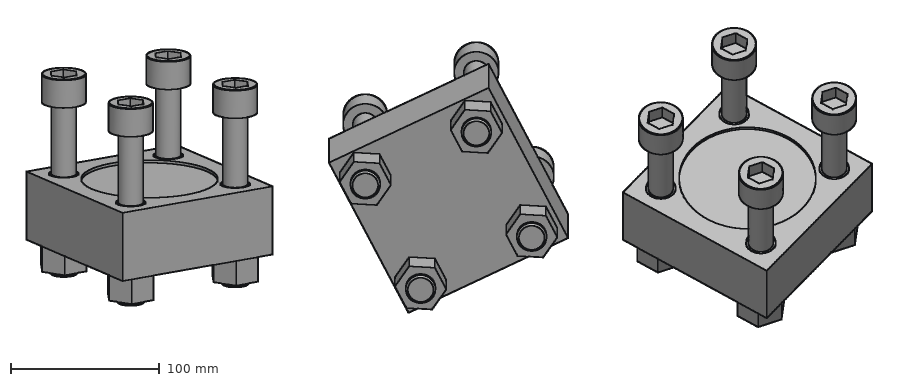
import cadquery as cq
import math

block_side = 120.0
block_height = 47.7
recess_diameter = 92.0
recess_depth = 2.0

bolt_length = 140.0
bolt_spacing = 83.5
thread_diameter = 20.0
shank_diameter = 17.0
tip_length = 3.8
tip_chamfer = 1.4
head_diameter = 30.0
head_height = 19.9
head_chamfer = 0.5
socket_across_flats = 17.0
socket_depth = 10.0

nut_across_flats = 30.0
nut_height = 18.3

nut_bottom = tip_length
block_bottom = nut_bottom + nut_height
block_top = block_bottom + block_height
head_bottom = bolt_length - head_height
socket_bottom = bolt_length - socket_depth


def cylinder(diameter, bottom, height):
    return cq.Workplane("XY").workplane(offset=bottom).circle(diameter / 2).extrude(height)


def hexagonal_prism(across_flats, bottom, height):
    """Upright hexagonal prism with flats facing +X and -X."""
    across_corners = across_flats / math.cos(math.radians(30))
    prism = cq.Workplane("XY").workplane(offset=bottom).polygon(6, across_corners).extrude(height)
    return prism.rotate((0, 0, 0), (0, 0, 1), 30)


def make_block():
    """Block with a shallow round recess in its top and a through hole for each bolt."""
    block = cq.Workplane("XY").workplane(offset=block_bottom).rect(block_side, block_side).extrude(block_height)
    block = block.cut(cylinder(recess_diameter, block_top - recess_depth, recess_depth))
    for center in bolt_centers:
        block = block.cut(cylinder(thread_diameter, block_bottom, block_height).translate(center))
    return block


def make_bolt():
    """Bolt whose thread narrows to the shank at 45 degrees, just below the block top."""
    thread_radius = thread_diameter / 2
    shank_radius = shank_diameter / 2
    head_radius = head_diameter / 2
    shoulder_height = thread_radius - shank_radius
    half_profile = [
        (0, 0),
        (thread_radius - tip_chamfer, 0),
        (thread_radius, tip_chamfer),
        (thread_radius, block_top - shoulder_height),
        (shank_radius, block_top),
        (shank_radius, head_bottom),
        (head_radius, head_bottom),
        (head_radius, bolt_length - head_chamfer),
        (head_radius - head_chamfer, bolt_length),
        (0, bolt_length),
    ]
    bolt = cq.Workplane("XZ").polyline(half_profile).close().revolve(360, (0, 0, 0), (0, 1, 0))
    return bolt.cut(hexagonal_prism(socket_across_flats, socket_bottom, socket_depth))


half_spacing = bolt_spacing / 2
bolt_centers = [(x, y, 0) for x in (-half_spacing, half_spacing) for y in (-half_spacing, half_spacing)]

bolt_with_nut = make_bolt().union(hexagonal_prism(nut_across_flats, nut_bottom, nut_height))

result = make_block()
for center in bolt_centers:
    result = result.union(bolt_with_nut.translate(center))